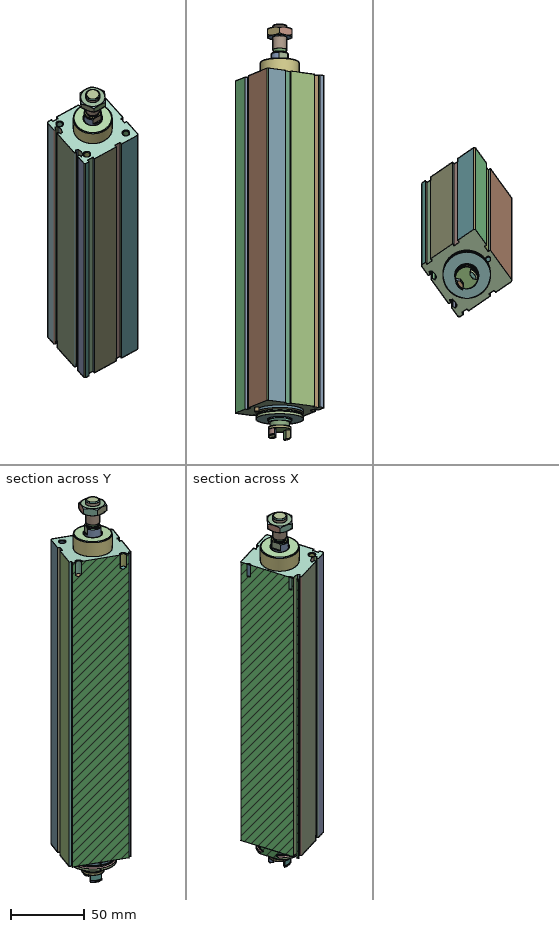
import cadquery as cq
import math

TANG_LIP_TOP = 2.0
TANG_TOP = 6.0
STEM_GROOVE_BOTTOM = 7.8
STEM_GROOVE_TOP = 11.3
FLANGE_BOTTOM = 12.8
END_RING_BOTTOM = 13.5
BARREL_BOTTOM = 19.7
BARREL_TOP = 252.7
COLLAR_TOP = 264.0
FLATS_BOTTOM = 265.0
SHOULDER_TOP = 270.0
NECK_TOP = 271.0
THREAD_BOTTOM = 272.7
NUT_BOTTOM = 281.5
NUT_TOP = 287
ROD_TOP = 289.8

BARREL_SIDE = 45.0
BARREL_CORNER_CHAMFER = 1.0
HALF_SIDE = BARREL_SIDE / 2

GROOVE_WIDTH = 4.3
GROOVE_DEPTH = 1.7
GROOVE_OFFSET = 6.0
LOW_GROOVE_OFFSET = -16.5

SLOT_SPACING = 24.3
SLOT_MOUTH_WIDTH = 3
SLOT_MOUTH_RADIUS = 0.72
SLOT_LIP_DEPTH = 1.3
SLOT_WIDEST_DEPTH = 2.0
SLOT_WIDEST = 7.0
SLOT_SHOULDER_DEPTH = 3.8
SLOT_SHOULDER_WIDTH = 5.5
SLOT_DEPTH = 4.3
SLOT_CEILING_WIDTH = 1.0

MOUNT_SPACING = 32.5
MOUNT_DIAMETER = 4.0
MOUNT_MOUTH_DIAMETER = 5.2
MOUNT_DEPTH = 10.0
DRILL_TIP_ANGLE = 118

COLLAR_DIAMETER = 26.7
COLLAR_CHAMFER = 0.5
COLLAR_MOUTH_DIAMETER = 13.3

ROD_DIAMETER = 12.0
ROD_FLAT_WIDTH = 9.9
SHOULDER_CHAMFER = 0.5
NECK_DIAMETER = 8.5
THREAD_DIAMETER = 9.9
THREAD_CHAMFER = (THREAD_DIAMETER - NECK_DIAMETER) / 2

NUT_ACROSS_FLATS = 16.8
NUT_FACE_DIAMETER = 16.5
NUT_CORNER_DROP = 1.0

END_RING_DIAMETER = 32.5
END_RING_GROOVE_DEPTH = 1.0
END_RING_LAND = 1.7

FLANGE_DIAMETER = 16.5
STEM_DIAMETER = 15.5
STEM_GROOVE_DIAMETER = 13.3
TANG_DIAMETER = 15.0
TANG_INNER_WIDTH = 3.5
TANG_GAP = 7.8
TANG_TIP_CHAMFER = 1.2

PIN_DIAMETER = 3.2
PIN_LENGTH = 3
PIN_OFFSET = 18.0


def cylinder(diameter, bottom, top):
    return cq.Workplane("XY").workplane(offset=bottom).circle(diameter / 2).extrude(top - bottom)


def turned(profile):
    """Revolve a closed (radius, height) outline around the Z axis."""
    return cq.Workplane("XZ").polyline(profile).close().revolve(360, (0, 0, 0), (0, 1, 0))


def straight_groove(x, y, size_x, size_y):
    return (
        cq.Workplane("XY").workplane(offset=BARREL_BOTTOM)
        .center(x, y).rect(size_x, size_y).extrude(BARREL_TOP - BARREL_BOTTOM)
    )


def undercut_slot(x):
    """Slot with rounded mouth edges, a wide undercut and a shallow roofed floor."""
    mouth = SLOT_MOUTH_WIDTH / 2
    rim = mouth + SLOT_MOUTH_RADIUS
    round_end = -HALF_SIDE + SLOT_MOUTH_RADIUS
    round_inset = SLOT_MOUTH_RADIUS * math.sqrt(0.5)
    inner_half = [
        (mouth, -HALF_SIDE + SLOT_LIP_DEPTH),
        (SLOT_WIDEST / 2, -HALF_SIDE + SLOT_WIDEST_DEPTH),
        (SLOT_SHOULDER_WIDTH / 2, -HALF_SIDE + SLOT_SHOULDER_DEPTH),
        (SLOT_CEILING_WIDTH / 2, -HALF_SIDE + SLOT_DEPTH),
    ]
    outline = cq.Workplane("XY").workplane(offset=BARREL_BOTTOM).center(x, 0).moveTo(rim, -HALF_SIDE)
    outline = outline.threePointArc((rim - round_inset, round_end - round_inset), (mouth, round_end))
    for px, py in inner_half:
        outline = outline.lineTo(px, py)
    for px, py in reversed(inner_half):
        outline = outline.lineTo(-px, py)
    outline = outline.lineTo(-mouth, round_end)
    outline = outline.threePointArc((round_inset - rim, round_end - round_inset), (-rim, -HALF_SIDE))
    return outline.close().extrude(BARREL_TOP - BARREL_BOTTOM)


def mounting_hole(x, y):
    radius = MOUNT_DIAMETER / 2
    mouth_radius = MOUNT_MOUTH_DIAMETER / 2
    tip_length = radius / math.tan(math.radians(DRILL_TIP_ANGLE / 2))
    floor = BARREL_TOP - MOUNT_DEPTH
    profile = [
        (0, floor - tip_length),
        (radius, floor),
        (radius, BARREL_TOP - (mouth_radius - radius)),
        (mouth_radius, BARREL_TOP),
        (0, BARREL_TOP),
    ]
    return turned(profile).translate((x, y, 0))


def make_barrel():
    body = (
        cq.Workplane("XY").workplane(offset=BARREL_BOTTOM)
        .rect(BARREL_SIDE, BARREL_SIDE).extrude(BARREL_TOP - BARREL_BOTTOM)
        .edges("|Z").chamfer(BARREL_CORNER_CHAMFER)
    )
    body = body.cut(straight_groove(GROOVE_OFFSET, HALF_SIDE, GROOVE_WIDTH, 2 * GROOVE_DEPTH))
    for side in (-1, 1):
        for y in (GROOVE_OFFSET, LOW_GROOVE_OFFSET):
            body = body.cut(straight_groove(side * HALF_SIDE, y, 2 * GROOVE_DEPTH, GROOVE_WIDTH))
        body = body.cut(undercut_slot(side * SLOT_SPACING / 2))
        for end in (-1, 1):
            body = body.cut(mounting_hole(side * MOUNT_SPACING / 2, end * MOUNT_SPACING / 2))
    return body


def make_collar():
    outer = COLLAR_DIAMETER / 2
    bore = ROD_DIAMETER / 2
    mouth = COLLAR_MOUTH_DIAMETER / 2
    return turned([
        (bore, BARREL_TOP),
        (outer, BARREL_TOP),
        (outer, COLLAR_TOP - COLLAR_CHAMFER),
        (outer - COLLAR_CHAMFER, COLLAR_TOP),
        (mouth, COLLAR_TOP),
        (bore, COLLAR_TOP - (mouth - bore)),
    ])


def make_rod():
    rod = ROD_DIAMETER / 2
    neck = NECK_DIAMETER / 2
    thread = THREAD_DIAMETER / 2
    body = turned([
        (0, BARREL_TOP),
        (rod, BARREL_TOP),
        (rod, SHOULDER_TOP - SHOULDER_CHAMFER),
        (rod - SHOULDER_CHAMFER, SHOULDER_TOP),
        (neck, SHOULDER_TOP),
        (neck, NECK_TOP),
        (thread, THREAD_BOTTOM),
        (thread, ROD_TOP - THREAD_CHAMFER),
        (neck, ROD_TOP),
        (0, ROD_TOP),
    ])
    flat_depth = (ROD_DIAMETER - ROD_FLAT_WIDTH) / 2
    for side in (-1, 1):
        flat = (
            cq.Workplane("XY").workplane(offset=FLATS_BOTTOM)
            .center(side * (ROD_FLAT_WIDTH + flat_depth) / 2, 0)
            .rect(flat_depth, ROD_DIAMETER).extrude(SHOULDER_TOP - FLATS_BOTTOM)
        )
        body = body.cut(flat)
    return body


def make_nut():
    """Hexagon with two flats facing +-X and its corners chamfered at both ends."""
    across_corners = NUT_ACROSS_FLATS / math.cos(math.pi / 6)
    bore = THREAD_DIAMETER / 2
    face = NUT_FACE_DIAMETER / 2
    corner = across_corners / 2
    hexagon = (
        cq.Workplane("XY").workplane(offset=NUT_BOTTOM)
        .polygon(6, across_corners).extrude(NUT_TOP - NUT_BOTTOM)
        .rotate((0, 0, 0), (0, 0, 1), 30)
    )
    chamfered_blank = turned([
        (bore, NUT_BOTTOM),
        (face, NUT_BOTTOM),
        (corner, NUT_BOTTOM + NUT_CORNER_DROP),
        (corner, NUT_TOP - NUT_CORNER_DROP),
        (face, NUT_TOP),
        (bore, NUT_TOP),
    ])
    return hexagon.intersect(chamfered_blank)


def make_end_ring():
    outer = END_RING_DIAMETER / 2
    inner = FLANGE_DIAMETER / 2
    groove = outer - END_RING_GROOVE_DEPTH
    lower_land_top = END_RING_BOTTOM + END_RING_LAND
    upper_land_bottom = BARREL_BOTTOM - END_RING_LAND
    return turned([
        (inner, END_RING_BOTTOM),
        (outer, END_RING_BOTTOM),
        (outer, lower_land_top),
        (groove, lower_land_top + END_RING_GROOVE_DEPTH),
        (groove, upper_land_bottom - END_RING_GROOVE_DEPTH),
        (outer, upper_land_bottom),
        (outer, BARREL_BOTTOM),
        (inner, BARREL_BOTTOM),
    ])


def tang_block(side):
    """Wedge whose 45 degree flanks widen outward from the gap, on the +Y or -Y side."""
    gap_y = TANG_GAP / 2
    outer_y = STEM_DIAMETER / 2
    inner_x = TANG_INNER_WIDTH / 2
    outer_x = inner_x + outer_y - gap_y
    outline = [
        (-inner_x, side * gap_y),
        (inner_x, side * gap_y),
        (outer_x, side * outer_y),
        (-outer_x, side * outer_y),
    ]
    return cq.Workplane("XY").polyline(outline).close().extrude(TANG_TOP)


def make_coupling():
    flange = FLANGE_DIAMETER / 2
    stem = STEM_DIAMETER / 2
    tang = TANG_DIAMETER / 2
    groove = STEM_GROOVE_DIAMETER / 2
    body = turned([
        (0, 0),
        (stem - TANG_TIP_CHAMFER, 0),
        (stem, TANG_TIP_CHAMFER),
        (stem, TANG_LIP_TOP),
        (tang, TANG_LIP_TOP),
        (tang, TANG_TOP),
        (stem, TANG_TOP),
        (stem, STEM_GROOVE_BOTTOM),
        (groove, STEM_GROOVE_BOTTOM),
        (groove, STEM_GROOVE_TOP),
        (stem, STEM_GROOVE_TOP),
        (stem, FLANGE_BOTTOM),
        (flange, FLANGE_BOTTOM),
        (flange, BARREL_BOTTOM),
        (0, BARREL_BOTTOM),
    ])
    waste = cylinder(FLANGE_DIAMETER, 0, TANG_TOP)
    for side in (-1, 1):
        waste = waste.cut(tang_block(side))
    return body.cut(waste)


def make_pin():
    return cylinder(PIN_DIAMETER, BARREL_BOTTOM - PIN_LENGTH, BARREL_BOTTOM).translate((0, PIN_OFFSET, 0))


barrel = make_barrel()
collar = make_collar()
rod = make_rod()
nut = make_nut()
end_ring = make_end_ring()
coupling = make_coupling()
pin = make_pin()

result = cq.Compound.makeCompound([
    barrel.val(),
    collar.val(),
    rod.val(),
    nut.val(),
    end_ring.val(),
    coupling.val(),
    pin.val(),
])